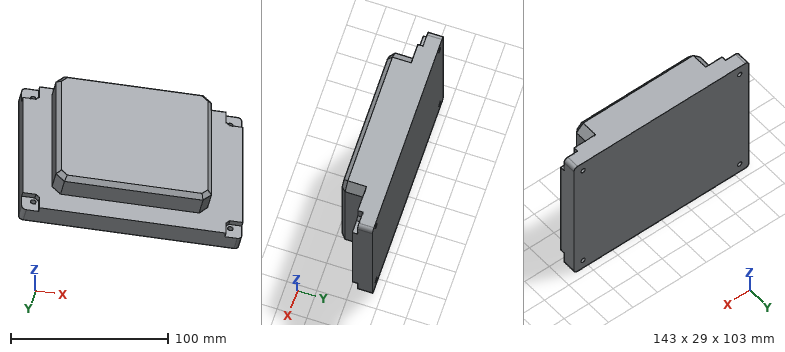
import cadquery as cq

plate_width = 143.0
plate_height = 103.0
plate_thickness = 13.5
plate_corner_radius = 3.0

total_depth = 29.0
block_width = 101.0
block_height = 89.0
block_left_margin = 19.0
block_corner_chamfer = 5.5
block_rim_bevel = 3.0

seat_size = 11.0
seat_depth = 3.5
seat_inner_chamfer = 2.5
screw_hole_diameter = 3.4
screw_hole_inset = 7.5

half_width = plate_width / 2
half_height = plate_height / 2
plate_front_y = -plate_thickness
block_front_y = -total_depth


def box_on_plate(width, height, center_x, center_z, back_y, front_y):
    """Box given by its X and Z extent and its back and front Y positions."""
    return (
        cq.Workplane("XZ", origin=(center_x, back_y, center_z))
        .rect(width, height)
        .extrude(back_y - front_y)
    )


def make_plate():
    """Flat plate with rounded corners."""
    plate = box_on_plate(plate_width, plate_height, 0, 0, 0, plate_front_y)
    return plate.edges("|Y").fillet(plate_corner_radius)


def make_block():
    """Raised block with cut corners and a bevelled front rim."""
    center_x = -half_width + block_left_margin + block_width / 2
    center_z = half_height - block_height / 2
    block = box_on_plate(block_width, block_height, center_x, center_z, plate_front_y, block_front_y)
    block = block.edges("|Y").chamfer(block_corner_chamfer)
    return block.faces("<Y").chamfer(block_rim_bevel)


def make_seat_cutter(side_x, side_z):
    """Corner recess whose inner corner is cut at 45 degrees."""
    inner_x = side_x * (half_width - seat_size)
    inner_z = side_z * (half_height - seat_size)
    outer_x = side_x * half_width
    outer_z = side_z * half_height
    return (
        cq.Workplane("XZ", origin=(0, plate_front_y + seat_depth, 0))
        .moveTo(outer_x, outer_z)
        .lineTo(inner_x, outer_z)
        .lineTo(inner_x, inner_z + side_z * seat_inner_chamfer)
        .lineTo(inner_x + side_x * seat_inner_chamfer, inner_z)
        .lineTo(outer_x, inner_z)
        .close()
        .extrude(seat_depth)
    )


def make_screw_hole(side_x, side_z):
    """Cylinder through the full thickness of the plate."""
    hole_x = side_x * (half_width - screw_hole_inset)
    hole_z = side_z * (half_height - screw_hole_inset)
    return (
        cq.Workplane("XZ", origin=(hole_x, 0, hole_z))
        .circle(screw_hole_diameter / 2)
        .extrude(plate_thickness)
    )


result = make_plate().union(make_block())

for side_x in (-1, 1):
    for side_z in (-1, 1):
        result = result.cut(make_seat_cutter(side_x, side_z))
        result = result.cut(make_screw_hole(side_x, side_z))